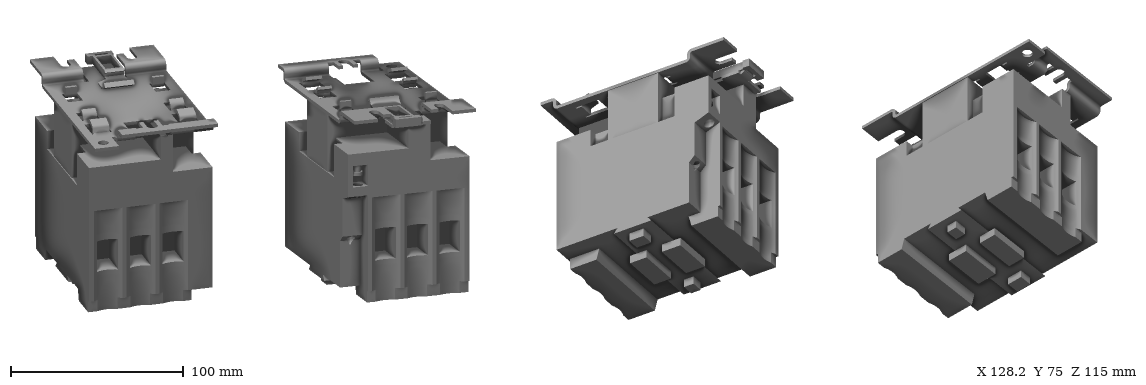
import cadquery as cq
import math

BODY_HALF_LENGTH = 52.3
WIDTH = 75.0
HALF_WIDTH = WIDTH / 2
BODY_BOTTOM = 8.2
SHELF_HIGH = 92.0
SHELF_LOW = 83.5
PLATE_BOTTOM = 106.7
CORE_HALF_LENGTH = 17.2
CORE_HALF_WIDTH = 37.0
NOTCH_BOTTOM = 72.0
NOTCH_DEPTH = 5.4
NOTCH_HALF_LENGTH = 29.0
LEFT_RIB_Y = (-13.5, 0.3)
RIGHT_RIB_Y = (6.2, 13.5)

FOOT_BOTTOM = 1.2
FOOT_OUTER_X = 50.8
FOOT_INNER_X = (30.8, 32.7)
COIL_SIDE_Y = 25.3
CLIP_TOP = 5.1
CLIP_HALF_LENGTH = 17.3
CLIP_LEG_INNER_X = (-4.5, 6.0)
DOVETAIL_HALF_LENGTHS = (10.4, 12.8)
CLIP_LEG_HALF_WIDTH = 13.1
FRONT_BLOCK_X = (-2.2, 4.4)
FRONT_BLOCK_Y = (-32.3, -24.6)
REAR_BLOCK_X = (-4.5, 5.3)
REAR_BLOCK_Y = (24.6, 32.8)

TERMINAL_PITCH = 19.9
TERMINAL_MIDDLE_Y = -5.9
SCALLOP_RADIUS = 14.9
SCALLOP_DEPTH = 2.8
SCALLOP_TOP = 64.8
POCKET_WIDTH = 12.8
POCKET_Z = (25.9, 44.9)
POCKET_DEPTH = 19.2

COIL_WINDOW_Y = (25.3, 34.5)
COIL_WINDOW_Z = (71.9, 84.8)
COIL_WINDOW_DEPTH = 10.3
SCREW_X = -46.4
SCREW_Y = 29.7
SCREW_SHANK_RADIUS = 2.2
SCREW_HEAD_RADIUS = 3.2
SCREW_HEAD_Z = (77.6, 79.8)
SCREW_HOLE_X = -47.7
SCREW_HOLE_RADIUS = 3.1
RECESS_DEPTHS = (9.6, 13.5)
RECESS_TOPS = (66.3, 39.9)
RECESS_SLOPE_HEIGHT = 3.7
FUNNEL_Y = 31.4
FUNNEL_RADIUS = 3.1
FUNNEL_TIP_Z = 33.3
FUNNEL_SHOULDER_Z = 37.8

SHEET = 2.0
PLATE_TOP = PLATE_BOTTOM + SHEET
FLANGE_TOP = 115.0
FLANGE_BOTTOM = FLANGE_TOP - SHEET
BEND_INNER = 1.0
BEND_OUTER = BEND_INNER + SHEET
DIAGONAL = math.sqrt(0.5)
LEFT_WEB_X = -37.6
RIGHT_WEB_X = 52.6
LEFT_FLANGE_X = -62.7
RIGHT_FLANGE_X = 63.3
EAR_X = 64.1
EAR_SLOT_Y = (-23.0, -20.8)
EAR_SLOT_X = 49.9
EAR_HOLE = (56.7, -30.1)
EAR_HOLE_RADIUS = 3.2
FLANGE_INNER_Y = 12.8
TONGUE_X = -56.5
TONGUE_HALF_WIDTH = 12.0
TONGUE_NECK_HALF_WIDTH = 10.1
TONGUE_NECK_X = (-44.9, -34.9)
HOOK_SLOT_Y = (17.0, 23.1)
HOOK_SLOT_CENTRE_X = -48.7
HOOK_TIP_X = -55.4
WINDOW_X = (31.0, 56.3)
WINDOW_HALF_WIDTH = 10.0
FINGER_TIP_X = 47.8
FINGER_OUTER_Y = 5.9
FINGER_SLOT_RADIUS = 3.2
FINGER_SLOT_CENTRE_X = 55.3

UPRIGHT_WINDOW_X = (-21.3, -8.3)
UPRIGHT_WINDOW_Y = (22.0, 31.0)
UPRIGHT_TAB_Y = (23.0, 29.9)
UPRIGHT_TAB_X = (-19.2, -17.2)
UPRIGHT_TAB_TOP = 114.1
CURLED_WINDOW_X = (9.0, 21.3)
CURLED_WINDOW_Y = (21.2, 31.8)
CURLED_TAB_Y = (22.3, 30.8)
CURLED_FOOT_X = (18.1, 20.0)
CURLED_TIP_LOW = (15.0, 112.1)
CURLED_TIP_HIGH = (15.8, 113.6)
CURLED_UNDER_MIDDLE = (17.2, 110.5)
CURLED_BEND = ((17.7, 112.6), (18.7, 111.7), (19.4, 110.5))
HOOKED_WINDOW_X = (26.9, 42.6)
HOOKED_WINDOW_Y = (20.5, 32.5)
HOOKED_TAB_Y = (21.4, 31.4)
HOOKED_FOOT_X = (39.0, 41.3)
HOOKED_TIP_LOW = (33.5, 112.8)
HOOKED_TIP_HIGH = (34.1, 114.6)
HOOKED_UNDER_BEND = ((39.0, 110.0), (38.7, 110.7), (38.1, 111.0))
HOOKED_BEND = ((38.5, 113.0), (39.6, 112.3), (40.3, 111.3))

LATCH_HEAD_X = (-64.1, -59.5)
LATCH_HEAD_Y = (-3.5, 12.5)
LATCH_TOP = 113.9
LATCH_SLOT_X = (-61.5, -59.8)
LATCH_SLOT_Y = (1.3, 9.1)
FRAME_Y = (-0.4, 11.4)
FRAME_END_X = -36.7
FRAME_LIP_X = -35.0
FRAME_LIP_HEIGHT = 2.0
FRAME_POCKET_X = (-57.6, -38.5)
FRAME_POCKET_Y = (1.0, 10.1)
LATCH_ROOT_MIDDLE = (-58.6, 107.5)
SPRING_TOP = 109.8
SPRING_WIDE_Y = -6.5
SPRING_TAPER_X = (-33.2, -29.6)
SPRING_BEND_X = -23.2
SPRING_PEAK = (-18.0, 114.0)
SPRING_TIP = (-15.3, 112.0)
SPRING_UPPER_MIDDLE = (-20.0, 111.0)
SPRING_UNDER_MIDDLE = (-18.7, 110.1)


def box(x_range, y_range, z_range):
    size = [high - low for low, high in (x_range, y_range, z_range)]
    corner = (x_range[0], y_range[0], z_range[0])
    return cq.Workplane("XY").box(*size, centered=False).translate(corner)


def along_y(profile, y_range):
    """Extrude a closed XZ sketch, drawn on the "XZ" plane, from y_range[0] to y_range[1]."""
    low, high = y_range
    return profile.extrude(low - high).translate((0, low, 0))


def xz():
    """Sketch plane for profiles that run along Y."""
    return cq.Workplane("XZ")


def make_body():
    full_x = (-BODY_HALF_LENGTH, BODY_HALF_LENGTH)
    full_y = (-HALF_WIDTH, HALF_WIDTH)
    left_x = (-BODY_HALF_LENGTH, -CORE_HALF_LENGTH)
    right_x = (CORE_HALF_LENGTH, BODY_HALF_LENGTH)
    core_x = (-CORE_HALF_LENGTH, CORE_HALF_LENGTH)
    upper_z = (SHELF_HIGH, PLATE_BOTTOM)
    low_shelf_z = (SHELF_LOW, SHELF_HIGH)

    body = box(full_x, full_y, (BODY_BOTTOM, SHELF_HIGH))
    body = body.union(box(core_x, (-CORE_HALF_WIDTH, CORE_HALF_WIDTH), upper_z))
    body = body.union(box(left_x, LEFT_RIB_Y, upper_z))
    body = body.union(box(right_x, RIGHT_RIB_Y, upper_z))

    body = body.cut(box(left_x, (-HALF_WIDTH, LEFT_RIB_Y[0]), low_shelf_z))
    body = body.cut(box(right_x, (RIGHT_RIB_Y[1], HALF_WIDTH), low_shelf_z))

    notch_z = (NOTCH_BOTTOM, SHELF_HIGH)
    notch_y = (-HALF_WIDTH, -HALF_WIDTH + NOTCH_DEPTH)
    relief = box(core_x, (-HALF_WIDTH, -CORE_HALF_WIDTH), notch_z)
    relief = relief.union(box((-NOTCH_HALF_LENGTH, -CORE_HALF_LENGTH), notch_y, notch_z))
    relief = relief.union(box((CORE_HALF_LENGTH, NOTCH_HALF_LENGTH), notch_y, notch_z))
    return body.cut(relief).cut(relief.mirror("XZ"))


def make_foot(side):
    foot = xz().polyline([
        (side * FOOT_OUTER_X, BODY_BOTTOM),
        (side * FOOT_OUTER_X, FOOT_BOTTOM),
        (side * FOOT_INNER_X[1], FOOT_BOTTOM),
        (side * FOOT_INNER_X[0], BODY_BOTTOM),
    ]).close()
    return along_y(foot, (-HALF_WIDTH, COIL_SIDE_Y))


def make_rail_clips():
    top_half, bottom_half = DOVETAIL_HALF_LENGTHS
    dovetail = xz().polyline([
        (-top_half, BODY_BOTTOM),
        (top_half, BODY_BOTTOM),
        (bottom_half, CLIP_TOP),
        (-bottom_half, CLIP_TOP),
    ]).close()
    clips = along_y(dovetail, (-HALF_WIDTH, HALF_WIDTH))
    clip_z = (0, CLIP_TOP)
    leg_y = (-CLIP_LEG_HALF_WIDTH, CLIP_LEG_HALF_WIDTH)
    left_inner, right_inner = CLIP_LEG_INNER_X
    clips = clips.union(box((-CLIP_HALF_LENGTH, left_inner), leg_y, clip_z))
    clips = clips.union(box((right_inner, CLIP_HALF_LENGTH), leg_y, clip_z))
    clips = clips.union(box(FRONT_BLOCK_X, FRONT_BLOCK_Y, clip_z))
    clips = clips.union(box(REAR_BLOCK_X, REAR_BLOCK_Y, clip_z))
    return clips


def make_terminal_cut(side, y):
    """Concave scallop and cable pocket of one main terminal on the -X or +X end."""
    axis_x = side * (BODY_HALF_LENGTH + SCALLOP_RADIUS - SCALLOP_DEPTH)
    scallop = cq.Workplane("XY").center(axis_x, y).circle(SCALLOP_RADIUS).extrude(SCALLOP_TOP)
    pocket_x = sorted((side * BODY_HALF_LENGTH, side * (BODY_HALF_LENGTH - POCKET_DEPTH)))
    pocket = box(pocket_x, (y - POCKET_WIDTH / 2, y + POCKET_WIDTH / 2), POCKET_Z)
    return scallop.union(pocket)


def make_coil_cut():
    """Screw window and the two sloped recesses of the coil terminal on the -X end."""
    window_x = (-BODY_HALF_LENGTH, -BODY_HALF_LENGTH + COIL_WINDOW_DEPTH)
    window = box(window_x, COIL_WINDOW_Y, COIL_WINDOW_Z)
    upper_x, lower_x = [-BODY_HALF_LENGTH + depth for depth in RECESS_DEPTHS]
    upper_top, lower_top = RECESS_TOPS
    recess = xz().polyline([
        (-BODY_HALF_LENGTH, upper_top),
        (upper_x, upper_top - RECESS_SLOPE_HEIGHT),
        (upper_x, lower_top),
        (lower_x, lower_top - RECESS_SLOPE_HEIGHT),
        (lower_x, BODY_BOTTOM),
        (-BODY_HALF_LENGTH, BODY_BOTTOM),
    ]).close()
    hole_bottom = upper_top - RECESS_SLOPE_HEIGHT
    hole = (
        cq.Workplane("XY", origin=(SCREW_HOLE_X, SCREW_Y, hole_bottom))
        .circle(SCREW_HOLE_RADIUS).extrude(COIL_WINDOW_Z[0] - hole_bottom)
    )
    funnel = (
        xz().polyline([
            (0, FUNNEL_TIP_Z), (FUNNEL_RADIUS, FUNNEL_SHOULDER_Z),
            (FUNNEL_RADIUS, lower_top), (0, lower_top),
        ]).close().revolve(360, (0, 0), (0, 1)).translate((lower_x, FUNNEL_Y, 0))
    )
    return window.union(along_y(recess, (COIL_SIDE_Y, HALF_WIDTH))).union(hole).union(funnel)


def make_coil_screw():
    def disc(radius, bottom, top):
        return cq.Workplane("XY", origin=(SCREW_X, SCREW_Y, bottom)).circle(radius).extrude(top - bottom)

    head_bottom, head_top = SCREW_HEAD_Z
    shank = disc(SCREW_SHANK_RADIUS, head_top, COIL_WINDOW_Z[1])
    return disc(SCREW_HEAD_RADIUS, head_bottom, head_top).union(shank)


def make_bent_sheet():
    """Plate with a web and a raised flange at each end; each flange points away from the middle."""
    plate_x = (LEFT_WEB_X + BEND_INNER, RIGHT_WEB_X - BEND_INNER)

    def bent_end(web_x, flange_x, out):
        """web_x is the face of the web on the plate's side; out is -1 or +1, away from the plate."""
        back_x = web_x + out * SHEET
        root_x = web_x - out * BEND_INNER
        top_x = web_x + out * BEND_OUTER
        low_z = PLATE_TOP + BEND_INNER
        high_z = FLANGE_BOTTOM - BEND_INNER

        def on_arc(centre_x, centre_z, radius, x_sign, z_sign):
            return (centre_x + x_sign * radius * DIAGONAL, centre_z + z_sign * radius * DIAGONAL)

        return (
            xz().moveTo(root_x, PLATE_BOTTOM)
            .threePointArc(on_arc(root_x, low_z, BEND_OUTER, out, -1), (back_x, low_z))
            .lineTo(back_x, high_z)
            .threePointArc(on_arc(top_x, high_z, BEND_INNER, -out, 1), (top_x, FLANGE_BOTTOM))
            .lineTo(flange_x, FLANGE_BOTTOM)
            .lineTo(flange_x, FLANGE_TOP)
            .lineTo(top_x, FLANGE_TOP)
            .threePointArc(on_arc(top_x, high_z, BEND_OUTER, -out, 1), (web_x, high_z))
            .lineTo(web_x, low_z)
            .threePointArc(on_arc(root_x, low_z, BEND_INNER, out, -1), (root_x, PLATE_TOP))
            .close()
        )

    sheet = box(plate_x, (-HALF_WIDTH, HALF_WIDTH), (PLATE_BOTTOM, PLATE_TOP))
    for y_range in ((-HALF_WIDTH, -FLANGE_INNER_Y), (FLANGE_INNER_Y, HALF_WIDTH)):
        sheet = sheet.union(along_y(bent_end(LEFT_WEB_X, LEFT_FLANGE_X, -1), y_range))
    right_y = (EAR_SLOT_Y[1], HALF_WIDTH)
    return sheet.union(along_y(bent_end(RIGHT_WEB_X, RIGHT_FLANGE_X, 1), right_y))


def add_tongue(sheet):
    plate_z = (PLATE_BOTTOM, PLATE_TOP)
    neck_start, neck_end = TONGUE_NECK_X
    neck_y = (-TONGUE_NECK_HALF_WIDTH, TONGUE_NECK_HALF_WIDTH)
    wide_y = (-TONGUE_HALF_WIDTH, TONGUE_HALF_WIDTH)
    for y_range in ((-FLANGE_INNER_Y, neck_y[0]), (neck_y[1], FLANGE_INNER_Y)):
        sheet = sheet.cut(box((neck_start, neck_end), y_range, plate_z))
    sheet = sheet.union(box((TONGUE_X, neck_start), wide_y, plate_z))
    return sheet.union(box((neck_start, neck_end), neck_y, plate_z))


def cut_hook_slots(sheet):
    """Screw slots that open toward -X in the two left flanges."""
    flange_z = (FLANGE_BOTTOM, FLANGE_TOP)
    slot_low, slot_high = HOOK_SLOT_Y
    centre_y = (slot_low + slot_high) / 2
    for side in (-1, 1):
        slot = box((LEFT_FLANGE_X, HOOK_SLOT_CENTRE_X), HOOK_SLOT_Y, flange_z)
        slot = slot.union(box((LEFT_FLANGE_X, HOOK_TIP_X), (FLANGE_INNER_Y, slot_high), flange_z))
        slot = slot.union(
            cq.Workplane("XY", origin=(HOOK_SLOT_CENTRE_X, centre_y, FLANGE_BOTTOM))
            .circle((slot_high - slot_low) / 2).extrude(SHEET)
        )
        if side < 0:
            slot = slot.mirror("XZ")
        sheet = sheet.cut(slot)
    return sheet


def cut_right_window(sheet):
    """Opening through the plate and the right web, with two fingers left on the flange."""
    window_y = (-WINDOW_HALF_WIDTH, WINDOW_HALF_WIDTH)
    sheet = sheet.cut(box(WINDOW_X, window_y, (PLATE_BOTTOM, FLANGE_TOP)))
    flange_z = (FLANGE_BOTTOM, FLANGE_TOP)
    fingers = box((FINGER_TIP_X, WINDOW_X[1]), (-FINGER_OUTER_Y, FINGER_OUTER_Y), flange_z)
    slot_y = (-FINGER_SLOT_RADIUS, FINGER_SLOT_RADIUS)
    slot = box((FINGER_TIP_X, FINGER_SLOT_CENTRE_X), slot_y, flange_z)
    slot = slot.union(
        cq.Workplane("XY", origin=(FINGER_SLOT_CENTRE_X, 0, FLANGE_BOTTOM))
        .circle(FINGER_SLOT_RADIUS).extrude(SHEET)
    )
    return sheet.union(fingers).cut(slot)


def add_ear(sheet):
    """Flat ear with a hole, parted from the right web by a narrow slot."""
    plate_z = (PLATE_BOTTOM, PLATE_TOP)
    sheet = sheet.union(box((EAR_SLOT_X, EAR_X), (-HALF_WIDTH, EAR_SLOT_Y[0]), plate_z))
    sheet = sheet.cut(box((EAR_SLOT_X, EAR_X), EAR_SLOT_Y, plate_z))
    hole = cq.Workplane("XY", origin=(*EAR_HOLE, PLATE_BOTTOM)).circle(EAR_HOLE_RADIUS).extrude(SHEET)
    return sheet.cut(hole)


def add_lanced_tab(sheet, opening_x, opening_y, tab_profile, tab_y):
    """Open a window near both long edges and leave a bent tab standing in each."""
    opening = box(opening_x, opening_y, (PLATE_BOTTOM, PLATE_TOP))
    tab = along_y(tab_profile, tab_y)
    sheet = sheet.cut(opening).cut(opening.mirror("XZ"))
    return sheet.union(tab).union(tab.mirror("XZ"))


def add_lanced_tabs(sheet):
    root_x = UPRIGHT_WINDOW_X[0]
    back_x, face_x = UPRIGHT_TAB_X
    bend_x = back_x - BEND_INNER
    bend_z = PLATE_TOP + BEND_INNER
    upright_tab = (
        xz().moveTo(root_x, PLATE_BOTTOM)
        .lineTo(bend_x, PLATE_BOTTOM)
        .threePointArc((bend_x + BEND_OUTER * DIAGONAL, bend_z - BEND_OUTER * DIAGONAL), (face_x, bend_z))
        .lineTo(face_x, UPRIGHT_TAB_TOP)
        .lineTo(back_x, UPRIGHT_TAB_TOP)
        .lineTo(back_x, bend_z)
        .threePointArc((bend_x + BEND_INNER * DIAGONAL, bend_z - BEND_INNER * DIAGONAL), (bend_x, PLATE_TOP))
        .lineTo(root_x, PLATE_TOP)
        .close()
    )
    sheet = add_lanced_tab(sheet, UPRIGHT_WINDOW_X, UPRIGHT_WINDOW_Y, upright_tab, UPRIGHT_TAB_Y)

    root_x = CURLED_WINDOW_X[1]
    under_x, upper_x = CURLED_FOOT_X
    bend_start, bend_middle, bend_end = CURLED_BEND
    curled_tab = (
        xz().moveTo(root_x, PLATE_BOTTOM)
        .lineTo(under_x, PLATE_BOTTOM)
        .lineTo(under_x, PLATE_TOP)
        .threePointArc(CURLED_UNDER_MIDDLE, CURLED_TIP_LOW)
        .lineTo(*CURLED_TIP_HIGH)
        .lineTo(*bend_start)
        .threePointArc(bend_middle, bend_end)
        .lineTo(upper_x, PLATE_TOP)
        .lineTo(root_x, PLATE_TOP)
        .close()
    )
    sheet = add_lanced_tab(sheet, CURLED_WINDOW_X, CURLED_WINDOW_Y, curled_tab, CURLED_TAB_Y)

    root_x = HOOKED_WINDOW_X[1]
    under_x, upper_x = HOOKED_FOOT_X
    under_start, under_middle, under_end = HOOKED_UNDER_BEND
    bend_start, bend_middle, bend_end = HOOKED_BEND
    hooked_tab = (
        xz().moveTo(root_x, PLATE_BOTTOM)
        .lineTo(under_x, PLATE_BOTTOM)
        .lineTo(*under_start)
        .threePointArc(under_middle, under_end)
        .lineTo(*HOOKED_TIP_LOW)
        .lineTo(*HOOKED_TIP_HIGH)
        .lineTo(*bend_start)
        .threePointArc(bend_middle, bend_end)
        .lineTo(upper_x, PLATE_TOP)
        .lineTo(root_x, PLATE_TOP)
        .close()
    )
    return add_lanced_tab(sheet, HOOKED_WINDOW_X, HOOKED_WINDOW_Y, hooked_tab, HOOKED_TAB_Y)


def make_latch():
    head = box(LATCH_HEAD_X, LATCH_HEAD_Y, (PLATE_TOP, LATCH_TOP))
    head = head.cut(box(LATCH_SLOT_X, LATCH_SLOT_Y, (PLATE_TOP, LATCH_TOP)))

    lip_bottom = LATCH_TOP - FRAME_LIP_HEIGHT
    frame_profile = xz().polyline([
        (LATCH_HEAD_X[1], PLATE_TOP), (FRAME_END_X, PLATE_TOP), (FRAME_END_X, lip_bottom),
        (FRAME_LIP_X, lip_bottom + FRAME_LIP_HEIGHT / 2), (FRAME_END_X, LATCH_TOP),
        (LATCH_HEAD_X[1], LATCH_TOP),
    ]).close()
    frame = along_y(frame_profile, FRAME_Y)
    frame = frame.cut(box(FRAME_POCKET_X, FRAME_POCKET_Y, (PLATE_TOP, LATCH_TOP)))

    root = (
        xz().moveTo(LATCH_HEAD_X[1], PLATE_TOP)
        .lineTo(TONGUE_X, PLATE_TOP)
        .lineTo(TONGUE_X, PLATE_BOTTOM)
        .threePointArc(LATCH_ROOT_MIDDLE, (LATCH_HEAD_X[1], PLATE_TOP))
        .close()
    )
    return head.union(frame).union(along_y(root, FRAME_POCKET_Y))


def make_spring():
    """Leaf that widens toward its free end, curls up to a peak and turns down at the tip."""
    peak_x, peak_z = SPRING_PEAK
    tip_x, tip_z = SPRING_TIP
    leaf_thickness = SPRING_TOP - PLATE_TOP
    leaf = (
        xz().moveTo(FRAME_END_X, PLATE_TOP)
        .lineTo(FRAME_END_X, SPRING_TOP)
        .lineTo(SPRING_BEND_X, SPRING_TOP)
        .threePointArc(SPRING_UPPER_MIDDLE, SPRING_PEAK)
        .lineTo(tip_x, tip_z)
        .lineTo(tip_x - leaf_thickness, tip_z - leaf_thickness / 2)
        .lineTo(peak_x + leaf_thickness, peak_z - leaf_thickness)
        .threePointArc(SPRING_UNDER_MIDDLE, (SPRING_BEND_X + leaf_thickness, PLATE_TOP))
        .close()
    )
    taper_start, taper_end = SPRING_TAPER_X
    corner = (
        cq.Workplane("XY", origin=(0, 0, PLATE_TOP))
        .polyline([
            (FRAME_END_X, FRAME_Y[0]), (taper_start, FRAME_Y[0]), (taper_end, SPRING_WIDE_Y),
            (FRAME_END_X, SPRING_WIDE_Y),
        ]).close().extrude(leaf_thickness)
    )
    return along_y(leaf, (SPRING_WIDE_Y, FRAME_Y[1])).cut(corner)


result = make_body()
for end in (-1, 1):
    result = result.union(make_foot(end))
    for step in (-1, 0, 1):
        result = result.cut(make_terminal_cut(end, TERMINAL_MIDDLE_Y + step * TERMINAL_PITCH))
result = result.cut(make_coil_cut()).union(make_coil_screw()).union(make_rail_clips())

mounting_plate = add_tongue(make_bent_sheet())
mounting_plate = cut_hook_slots(mounting_plate)
mounting_plate = cut_right_window(mounting_plate)
mounting_plate = add_ear(mounting_plate)
mounting_plate = add_lanced_tabs(mounting_plate)
result = result.union(mounting_plate).union(make_latch()).union(make_spring())